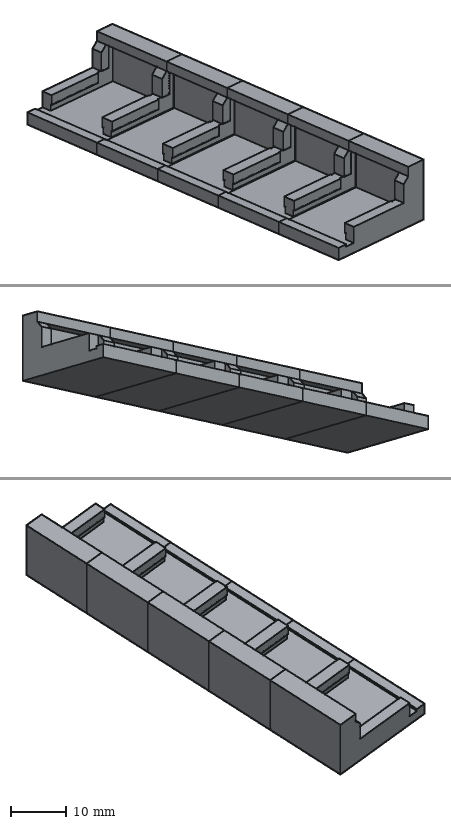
import cadquery as cq

LENGTH = 77.75
DEPTH = 22.2
HEIGHT = 12.2
SEGMENT_COUNT = 5

END_RIB_WIDTH = 2.25
INNER_RIB_WIDTH = 2.5
POCKET_WIDTH = (LENGTH - 2 * END_RIB_WIDTH - (SEGMENT_COUNT - 1) * INNER_RIB_WIDTH) / SEGMENT_COUNT
PITCH = POCKET_WIDTH + INNER_RIB_WIDTH

FRONT_LIP_WIDTH = 2.0
FRONT_LIP_HEIGHT = 2.5
FLOOR_HEIGHT = 2.0
RIB_FRONT_Y = 4.0
RIB_HEIGHT = 5.3
LEDGE_DEPTH = 4.05
LEDGE_FRONT_Y = DEPTH - LEDGE_DEPTH
LEDGE_BOTTOM = 10.3
POST_CHAMFER = 1.2
POST_FRONT_Y = LEDGE_FRONT_Y - POST_CHAMFER
WALL_THICKNESS = 2.0
WALL_FRONT_Y = DEPTH - WALL_THICKNESS

RELIEF_DEPTH = 0.2
RELIEF_THICKNESS = 1.25
RELIEF_STEP_OVERHANG = 0.85
RELIEF_STEP_Y = POST_FRONT_Y - RELIEF_STEP_OVERHANG


def extrude_along_x(points, start_x, end_x):
    """Extrude a closed (Y, Z) outline from start_x to end_x."""
    outline = cq.Workplane("YZ", origin=(start_x, 0, 0)).polyline(points).close()
    return outline.extrude(end_x - start_x)


def segment_blank(start_x, end_x):
    """Solid segment with the full rib, post and ledge profile."""
    profile = [
        (0, 0),
        (DEPTH, 0),
        (DEPTH, HEIGHT),
        (LEDGE_FRONT_Y, HEIGHT),
        (LEDGE_FRONT_Y, LEDGE_BOTTOM),
        (POST_FRONT_Y, LEDGE_BOTTOM - POST_CHAMFER),
        (POST_FRONT_Y, RIB_HEIGHT),
        (RIB_FRONT_Y, RIB_HEIGHT),
        (RIB_FRONT_Y, FLOOR_HEIGHT),
        (FRONT_LIP_WIDTH, FLOOR_HEIGHT),
        (FRONT_LIP_WIDTH, FRONT_LIP_HEIGHT),
        (0, FRONT_LIP_HEIGHT),
    ]
    return extrude_along_x(profile, start_x, end_x)


def pocket_cutter(left_x):
    """Space between two ribs, reaching back under the ledge to the wall."""
    profile = [
        (FRONT_LIP_WIDTH, FLOOR_HEIGHT),
        (WALL_FRONT_Y, FLOOR_HEIGHT),
        (WALL_FRONT_Y, LEDGE_BOTTOM),
        (FRONT_LIP_WIDTH, LEDGE_BOTTOM),
    ]
    return extrude_along_x(profile, left_x, left_x + POCKET_WIDTH)


def relief_cutter(left_x):
    """Stepped relief that widens a pocket near its floor and wall."""
    floor_band_top = FLOOR_HEIGHT + RELIEF_THICKNESS
    wall_band_front = WALL_FRONT_Y - RELIEF_THICKNESS
    profile = [
        (FRONT_LIP_WIDTH, FLOOR_HEIGHT),
        (WALL_FRONT_Y, FLOOR_HEIGHT),
        (WALL_FRONT_Y, LEDGE_BOTTOM),
        (wall_band_front, LEDGE_BOTTOM),
        (wall_band_front, RIB_HEIGHT),
        (RELIEF_STEP_Y, RIB_HEIGHT),
        (RELIEF_STEP_Y, floor_band_top),
        (FRONT_LIP_WIDTH, floor_band_top),
    ]
    return extrude_along_x(profile, left_x - RELIEF_DEPTH, left_x + POCKET_WIDTH + RELIEF_DEPTH)


def pocket_left_x(index):
    """X of the left side of a pocket."""
    return END_RIB_WIDTH + index * PITCH


def tray_segment(index):
    """One segment: its pocket and the rib on its right; the first also has a left rib."""
    is_first = index == 0
    is_last = index == SEGMENT_COUNT - 1
    start_x = 0 if is_first else pocket_left_x(index)
    end_x = LENGTH if is_last else pocket_left_x(index + 1)

    segment = segment_blank(start_x, end_x)
    segment = segment.cut(pocket_cutter(pocket_left_x(index)))
    segment = segment.cut(relief_cutter(pocket_left_x(index)))
    if not is_last:
        segment = segment.cut(relief_cutter(pocket_left_x(index + 1)))
    return segment


tray_segments = [tray_segment(index) for index in range(SEGMENT_COUNT)]

result = cq.Compound.makeCompound([segment.val() for segment in tray_segments])